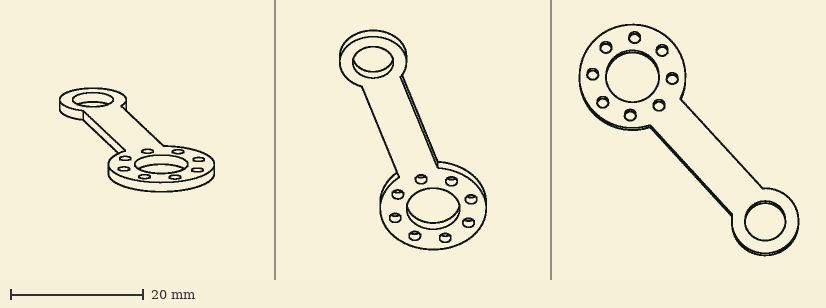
import cadquery as cq

length = 43.05
thickness = 1.5

large_diameter = 16.0
large_bore = 8.0
bolt_hole_diameter = 1.7
bolt_hole_count = 8
bolt_circle_diameter = (large_diameter + large_bore) / 2

small_diameter = 10.05
small_bore = 6.1

arm_width = small_bore

center_distance = length - (large_diameter + small_diameter) / 2


def disc(x, diameter):
    """Disc of full thickness, centred at (x, 0)."""
    return cq.Workplane("XY").center(x, 0).circle(diameter / 2).extrude(thickness)


arm = (
    cq.Workplane("XY")
    .center(center_distance / 2, 0)
    .rect(center_distance, arm_width)
    .extrude(thickness)
)
body = arm.union(disc(0, small_diameter)).union(disc(center_distance, large_diameter))

body = body.cut(disc(0, small_bore)).cut(disc(center_distance, large_bore))

bolt_holes = (
    cq.Workplane("XY")
    .center(center_distance, 0)
    .polarArray(bolt_circle_diameter / 2, 0, 360, bolt_hole_count)
    .circle(bolt_hole_diameter / 2)
    .extrude(thickness)
)
result = body.cut(bolt_holes)